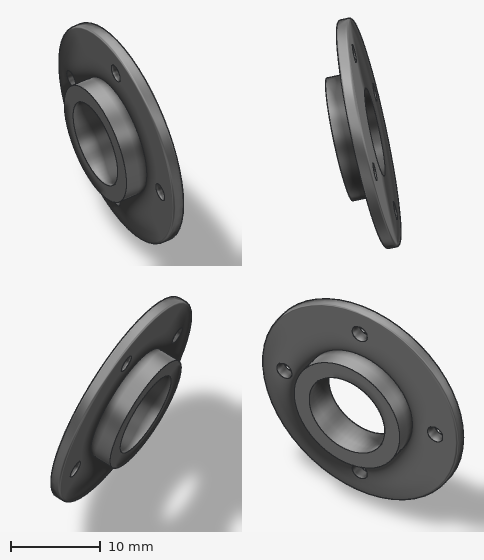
import cadquery as cq

flange_diameter = 26.0
flange_thickness = 1.4
flange_edge_fillet = 0.25
overall_depth = 4.0
hub_diameter = 14.0
bore_diameter = 10.0
bolt_circle_diameter = 20.0
bolt_hole_diameter = 2.0
bolt_hole_count = 4


def cylinder(diameter, length):
    """Cylinder from the flange's back face (Y = 0) toward -Y."""
    return cq.Workplane("XZ").circle(diameter / 2).extrude(length)


def bolt_holes():
    """Cutters for the evenly spaced holes through the flange."""
    return (
        cq.Workplane("XZ")
        .polarArray(bolt_circle_diameter / 2, 0, 360, bolt_hole_count)
        .circle(bolt_hole_diameter / 2)
        .extrude(flange_thickness)
    )


flange = cylinder(flange_diameter, flange_thickness).edges().fillet(flange_edge_fillet)

hub = cylinder(hub_diameter, overall_depth)
result = flange.union(hub).cut(cylinder(bore_diameter, overall_depth)).cut(bolt_holes())